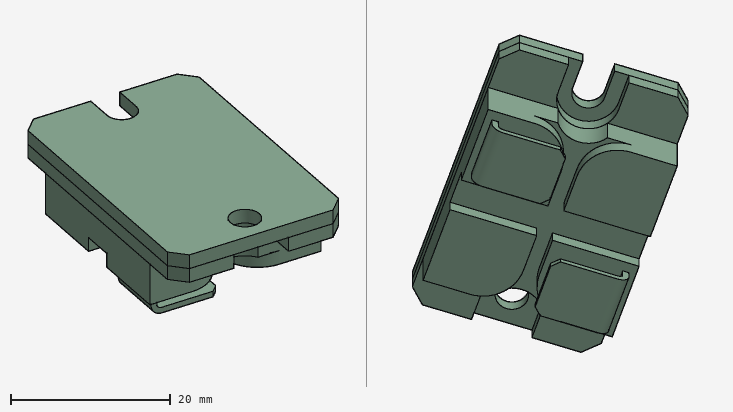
import cadquery as cq
import math

length = 38.0
width = 25.0
total_height = 12.6
layer_thickness = 2.0
corner_chamfer = 2.0

mount_diameter = 4.2
mount_x = 15.0
clearance_radius = 4.0

block_length = 25.45
block_bottom_z = -10.0
channel_depth = 2.0
cross_channel_width = 4.4
long_channel_width = 2.1
channel_mouth_radius = 5.32

terminal_width = 8.0
terminal_x = 7.5
terminal_thickness = 0.85
terminal_outer_y = 11.6
terminal_tip_y = 1.55
bend_radius = 1.55
tip_chamfer = 1.0

layer_bottom_z = -2 * layer_thickness
block_end_x = block_length / 2


def chamfered_plate(top_z):
    """One rectangular layer with its four vertical corners cut off."""
    return (
        cq.Workplane("XY", origin=(0, 0, top_z))
        .rect(length, width)
        .extrude(-layer_thickness)
        .edges("|Z")
        .chamfer(corner_chamfer)
    )


def open_slot(side, center_x, radius, top_z, bottom_z):
    """A round-ended slot that runs out past the end of the part on one side (-1 or +1)."""
    outer_x = length / 2 + radius
    return (
        cq.Workplane("XY", origin=(0, 0, top_z))
        .moveTo(side * outer_x, radius)
        .lineTo(side * center_x, radius)
        .threePointArc((side * (center_x - radius), 0), (side * center_x, -radius))
        .lineTo(side * outer_x, -radius)
        .close()
        .extrude(bottom_z - top_z)
    )


def make_base_plate():
    """The top plate, with a slot at its -X end and a round hole at its +X end."""
    slot = open_slot(-1, mount_x, mount_diameter / 2, 0, -layer_thickness)
    hole = (
        cq.Workplane("XY")
        .center(mount_x, 0)
        .circle(mount_diameter / 2)
        .extrude(-layer_thickness)
    )
    return chamfered_plate(0).cut(slot).cut(hole)


def end_clearance(side, top_z, bottom_z):
    """The space for a screw head around the mounting place at one end (-1 or +1)."""
    return open_slot(side, mount_x, clearance_radius, top_z, bottom_z)


def make_flange():
    """The layer under the base plate, with a screw-head clearance open at each end."""
    flange = chamfered_plate(-layer_thickness)
    for side in (-1, 1):
        flange = flange.cut(end_clearance(side, -layer_thickness, layer_bottom_z))
    return flange


def make_long_channel():
    """The channel along X in the underside, with mouths that flare in quarter rounds."""
    half_width = long_channel_width / 2
    mouth_half_width = half_width + channel_mouth_radius
    throat_x = block_end_x - channel_mouth_radius
    round_offset = channel_mouth_radius * math.sqrt(0.5)
    round_mid_x = throat_x + round_offset
    round_mid_y = mouth_half_width - round_offset
    return (
        cq.Workplane("XY", origin=(0, 0, block_bottom_z))
        .moveTo(-throat_x, half_width)
        .lineTo(throat_x, half_width)
        .threePointArc((round_mid_x, round_mid_y), (block_end_x, mouth_half_width))
        .lineTo(block_end_x, -mouth_half_width)
        .threePointArc((round_mid_x, -round_mid_y), (throat_x, -half_width))
        .lineTo(-throat_x, -half_width)
        .threePointArc((-round_mid_x, -round_mid_y), (-block_end_x, -mouth_half_width))
        .lineTo(-block_end_x, mouth_half_width)
        .threePointArc((-round_mid_x, round_mid_y), (-throat_x, half_width))
        .close()
        .extrude(channel_depth)
    )


def make_block():
    """The block, with rounded end cuts and crossing channels in its underside."""
    block = (
        cq.Workplane("XY", origin=(0, 0, layer_bottom_z))
        .rect(block_length, width)
        .extrude(block_bottom_z - layer_bottom_z)
    )
    cross_channel = (
        cq.Workplane("XY", origin=(0, 0, block_bottom_z))
        .rect(cross_channel_width, width)
        .extrude(channel_depth)
    )
    block = block.cut(cross_channel).cut(make_long_channel())
    for side in (-1, 1):
        block = block.cut(end_clearance(side, layer_bottom_z, block_bottom_z))
    return block


def make_terminal(side):
    """A strip that drops from the block and bends inward; side -1 lies at -X and +Y."""
    inner_y = terminal_outer_y - terminal_thickness
    tab_top_z = -total_height + terminal_thickness
    strip = (
        cq.Workplane("YZ", origin=(-terminal_x - terminal_width / 2, 0, 0))
        .moveTo(terminal_outer_y, block_bottom_z)
        .lineTo(terminal_outer_y, -total_height)
        .lineTo(terminal_tip_y, -total_height)
        .lineTo(terminal_tip_y, tab_top_z)
        .lineTo(inner_y, tab_top_z)
        .lineTo(inner_y, block_bottom_z)
        .close()
        .extrude(terminal_width)
    )
    strip = strip.edges("|X and >Y and <Z").fillet(bend_radius)
    inner_corner = cq.selectors.NearestToPointSelector((-terminal_x, inner_y, tab_top_z))
    strip = strip.edges(inner_corner).fillet(bend_radius - terminal_thickness)
    strip = strip.faces("<Y").edges("|Z").chamfer(tip_chamfer)
    turn = 0 if side < 0 else 180
    return strip.rotate((0, 0, 0), (0, 0, 1), turn)


base_plate = make_base_plate()
flange = make_flange()
block = make_block()
terminals = [make_terminal(side) for side in (-1, 1)]

result = cq.Compound.makeCompound(
    [
        base_plate.val(),
        flange.val(),
        block.val(),
        *[terminal.val() for terminal in terminals],
    ]
)